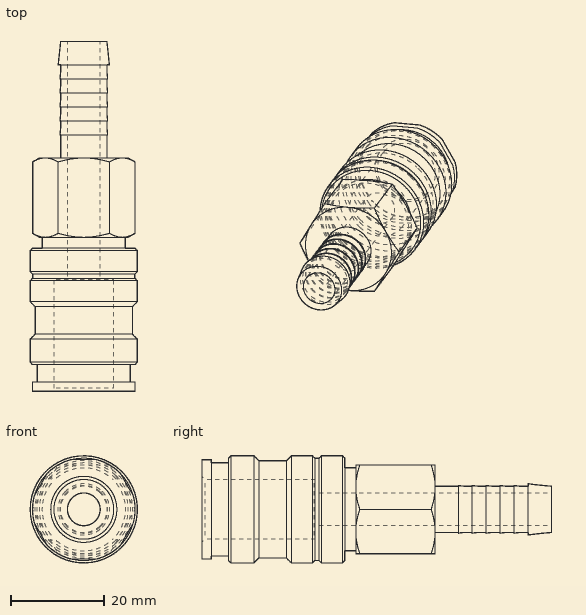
import cadquery as cq
import math

LENGTH = 75.0

FLANGE_DIA = 22.05
FLANGE_ACROSS_FLATS = 21.3
FLANGE_END = 2.0

SLEEVE_NECK_DIA = 20.0
COLLAR_DIA = 23.0
WAIST_DIA = 20.9
GROOVE_DIA = 22.0
REAR_NECK_DIA = 17.85
COLLAR_CHAMFER = 0.5
FRONT_COLLAR_START = 5.7
WAIST_START = 12.2
WAIST_END = 18.15
GROOVE_START = 24.2
GROOVE_END = 25.1
SLEEVE_END = 30.7

NUT_START = 33.0
NUT_END = 50.0
NUT_ACROSS_FLATS = 19.05
NUT_CHAMFER_ANGLE = 30.0

TAIL_DIA = 10.0
RIB_RISE = 0.15
RIB_LENGTH = 1.5
RIB_PITCH = 3.0
RIB_COUNT = 5
BARB_DIA = 11.0
BARB_LENGTH = 5.0

SOCKET_DIA = 12.8
SOCKET_DEPTH = 24.0
SOCKET_CHAMFER = 0.7
BORE_DIA = 7.0


def revolve_profile(profile):
    """Turn (radius, y) points, listed from the mouth to the tail, about the Y axis."""
    first_y = profile[0][1]
    last_y = profile[-1][1]
    outline = [(0, first_y)] + [(-radius, y) for radius, y in profile] + [(0, last_y)]
    return cq.Workplane("XY").polyline(outline).close().revolve(360, (0, 0, 0), (0, 1, 0))


def hexagonal_bar(across_flats, start, end):
    """Hexagonal prism along Y with two flats square to Z."""
    across_corners = across_flats / math.cos(math.radians(30))
    base = cq.Workplane("XZ", origin=(0, start, 0))
    return base.polygon(6, across_corners).extrude(start - end)


def make_flange():
    radius = FLANGE_DIA / 2
    disc = revolve_profile([(radius, 0), (radius, FLANGE_END)])
    return disc.intersect(hexagonal_bar(FLANGE_ACROSS_FLATS, 0, FLANGE_END))


def make_sleeve():
    neck = SLEEVE_NECK_DIA / 2
    collar = COLLAR_DIA / 2
    waist = WAIST_DIA / 2
    groove = GROOVE_DIA / 2
    rear_neck = REAR_NECK_DIA / 2
    waist_slope = collar - waist
    groove_slope = collar - groove
    return revolve_profile([
        (neck, FLANGE_END),
        (neck, FRONT_COLLAR_START),
        (collar - COLLAR_CHAMFER, FRONT_COLLAR_START),
        (collar, FRONT_COLLAR_START + COLLAR_CHAMFER),
        (collar, WAIST_START - waist_slope),
        (waist, WAIST_START),
        (waist, WAIST_END),
        (collar, WAIST_END + waist_slope),
        (collar, GROOVE_START - groove_slope),
        (groove, GROOVE_START),
        (groove, GROOVE_END),
        (collar, GROOVE_END + groove_slope),
        (collar, SLEEVE_END - COLLAR_CHAMFER),
        (collar - COLLAR_CHAMFER, SLEEVE_END),
        (rear_neck, SLEEVE_END),
        (rear_neck, NUT_START),
    ])


def make_nut():
    face_radius = NUT_ACROSS_FLATS / 2
    corner_radius = face_radius / math.cos(math.radians(30))
    chamfer_length = (corner_radius - face_radius) * math.tan(math.radians(NUT_CHAMFER_ANGLE))
    chamfer_envelope = revolve_profile([
        (face_radius, NUT_START),
        (corner_radius, NUT_START + chamfer_length),
        (corner_radius, NUT_END - chamfer_length),
        (face_radius, NUT_END),
    ])
    return hexagonal_bar(NUT_ACROSS_FLATS, NUT_START, NUT_END).intersect(chamfer_envelope)


def make_hose_tail():
    tail = TAIL_DIA / 2
    barb_start = LENGTH - BARB_LENGTH
    ribs_start = barb_start - RIB_COUNT * RIB_PITCH
    profile = [(tail, NUT_END)]
    for index in range(RIB_COUNT):
        rib_start = ribs_start + index * RIB_PITCH
        profile.append((tail, rib_start))
        profile.append((tail + RIB_RISE, rib_start))
        profile.append((tail, rib_start + RIB_LENGTH))
    profile.append((tail, barb_start))
    profile.append((BARB_DIA / 2, barb_start))
    profile.append((tail, LENGTH))
    return revolve_profile(profile)


def make_bores():
    socket = SOCKET_DIA / 2
    bore = BORE_DIA / 2
    return revolve_profile([
        (socket + SOCKET_CHAMFER, 0),
        (socket, SOCKET_CHAMFER),
        (socket, SOCKET_DEPTH),
        (bore, SOCKET_DEPTH),
        (bore, LENGTH),
    ])


body = make_flange().union(make_sleeve()).union(make_nut()).union(make_hose_tail())
result = body.cut(make_bores())